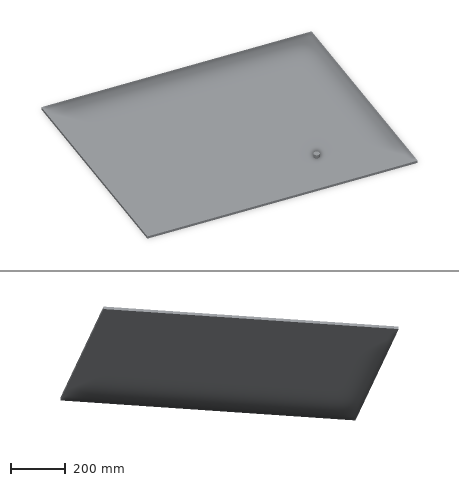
import cadquery as cq

plate_width = 900.0
plate_length = 1100.0
plate_thickness = 10.0
overall_height = 24.0
pin_diameter = 24.0
pin_x = 266.0
pin_y = 227.0

pin_height = overall_height - plate_thickness


def make_plate():
    """Flat rectangular plate, centred on the origin with its underside at Z = 0."""
    return cq.Workplane("XY").box(plate_width, plate_length, plate_thickness, centered=(True, True, False))


def make_pin():
    """Short round pin standing on the top face of the plate."""
    return (
        cq.Workplane("XY", origin=(pin_x, pin_y, plate_thickness))
        .circle(pin_diameter / 2)
        .extrude(pin_height)
    )


plate = make_plate()
pin = make_pin()

result = cq.Compound.makeCompound([plate.val(), pin.val()])